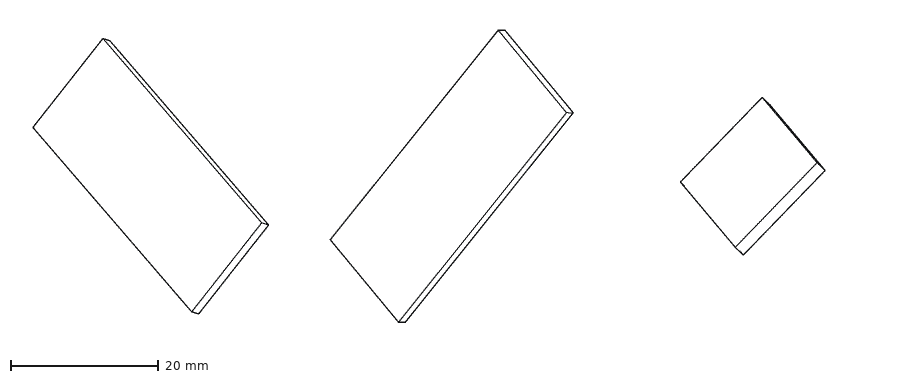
import cadquery as cq

plate_length = 39.85
plate_height = 15.98
plate_thickness = 1.6
lean_angle = 45.0

upright_plate = cq.Workplane("XY").box(plate_length, plate_thickness, plate_height)

result = upright_plate.rotate((0, 0, 0), (1, 0, 0), -lean_angle)